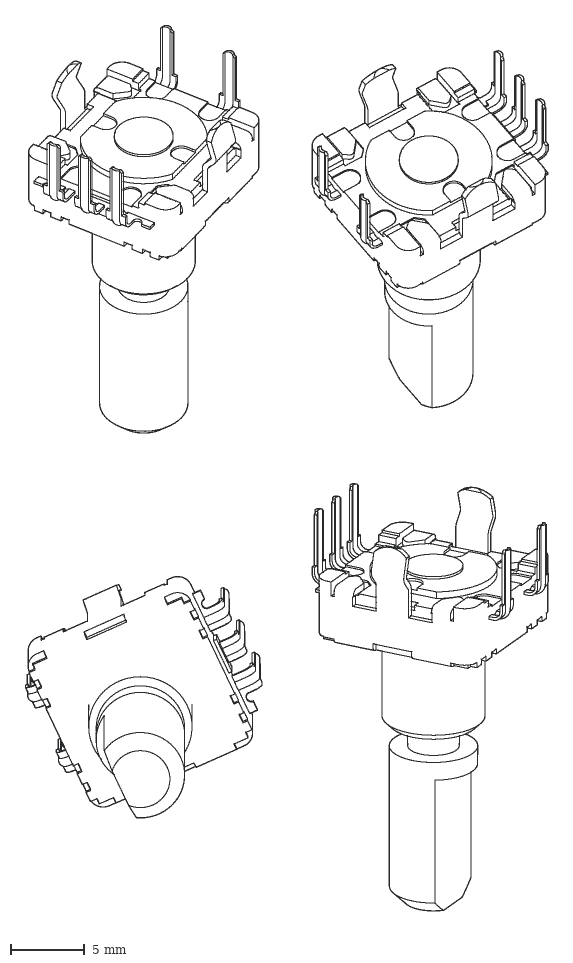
import cadquery as cq
import math


body_x = 11.75
body_y = 12.05
body_height = 4.5
corner_radius = 1.0
frame_thickness = 0.43
bottom_bend_radius = 0.35
half_x = body_x / 2
half_y = body_y / 2
cover_half_x = half_x - frame_thickness

floor_z = 3.85
disc_z = 4.33
pocket_z = 3.72
side_recess_z = 3.47

pad_inner_y = 4.7
pad_inner_x = 3.83
pad_step_inner_x = 3.34

disc_radius = 4.3
disc_half_flat = 3.68
centre_radius = 2.0

slot_width = 1.46
edge_slot_x = 2.1
edge_slot_tip_y = 4.3
disc_slot_tip_x = 2.28
disc_slot_z = 4.15

tab_outer_y = 4.47
tab_inner_y = 3.0
tab_tip_x = 3.36
tab_tip_y = 3.9
tab_top_z = 4.2
tab_flank_x = 4.35
tab_point_x = 3.85
tab_bend_radius = 0.45
tab_tip_radius = 0.3
pocket_inner_y = 2.84
pocket_inner_x = 3.15
pocket_chamfer = 0.52

side_opening_half_y = 3.05
side_opening_z = 3.04
side_recess_half_y = 1.49
side_recess_depth = 0.51

notch_height = 0.36
notch_width = 0.62
notch_depth = 0.35
notch_places_x = (2.52, 3.97)
side_notch_half_y = 1.48
side_notch_height = 0.6
corner_notch_inner = (4.98, 4.5)
corner_notch_post = (5.38, 5.55)

front_block_x = 2.5
front_block_z = (2.19, 3.47)
front_block_reach = 0.23

bushing_radius = 3.5
bushing_length = 7.0
bushing_chamfer = 0.5
bushing_flare = 0.5
neck_radius = 1.75
shaft_radius = 3.0
shaft_top_z = -8.7
shaft_end_z = -20.0
shaft_chamfer = 1.0
flat_y = 1.5
flat_top_z = -10.0

arm_width = 2.5
arm_thickness = 0.4
arm_first_bend = (half_x, 5.08)
arm_knee = (6.62, 5.98)
arm_tip = (6.03, 8.0)
arm_inner_radius = 0.2
arm_outer_radius = arm_inner_radius + arm_thickness
arm_shoulder_z = 7.5

lead_top_z = 8.0
lead_pitch = 2.5
lead_thickness = 0.2
lead_bottom_z = 2.93
lead_bend_radius = 0.7
lead_root_depth = 0.5
lead_foot_width = 1.55
lead_foot_top_z = 4.1
lead_pin_width = 0.95
lead_tip_chamfer = 0.2
bead_width = 0.62
bead_height = 0.15
front_lead_y = 7.575
rear_lead_y = 7.075

strip_outer_x = 4.62
strip_reach = 0.58
strip_notch_x = 3.6
strip_notch_radius = 0.34


def box(x_range, y_range, z_range):
    """Axis-aligned box between the given limits."""
    size = [limits[1] - limits[0] for limits in (x_range, y_range, z_range)]
    corner = (x_range[0], y_range[0], z_range[0])
    return cq.Workplane("XY").box(*size, centered=False).translate(corner)


def mirrored_x(shape):
    return shape.union(shape.mirror("YZ"))


def four_corners(shape):
    """The shape repeated in all four quadrants."""
    pair = mirrored_x(shape)
    return pair.union(pair.mirror("XZ"))


def round_slot(tip, outer, along_x, z_range):
    """Slot from its round tip outward to an open end, along +X or +Y from the axis."""
    radius = slot_width / 2
    height = z_range[1] - z_range[0]
    centre = tip + radius
    slot = cq.Workplane("XY").circle(radius).extrude(height).translate((0, centre, z_range[0]))
    slot = slot.union(box((-radius, radius), (centre, outer), z_range))
    if along_x:
        slot = slot.rotate((0, 0, 0), (0, 0, 1), -90)
    return slot


def make_body():
    body = cq.Workplane("XY").box(body_x, body_y, body_height, centered=(True, True, False))
    body = body.edges("|Z").fillet(corner_radius)
    bend = cq.Workplane("XY").box(body_x, body_y, body_height, centered=(True, True, False))
    bend = bend.edges("<Z and |Y").fillet(bottom_bend_radius)
    body = body.intersect(bend)

    side_notch_y = (-side_notch_half_y, side_notch_half_y)
    side_notch = box((cover_half_x, half_x), side_notch_y, (0, side_notch_height))
    body = body.cut(mirrored_x(side_notch))
    for place_x in notch_places_x:
        x_range = (place_x - notch_width / 2, place_x + notch_width / 2)
        notch = box(x_range, (half_y - notch_depth, half_y), (0, notch_height))
        body = body.cut(four_corners(notch))

    inner_x, inner_y = corner_notch_inner
    post_x, post_y = corner_notch_post
    corner = box((inner_x, half_x), (inner_y, half_y), (0, notch_height))
    corner = corner.cut(box((inner_x, post_x), (inner_y, post_y), (0, notch_height)))
    return body.cut(four_corners(corner))


def cut_cover(body):
    """Lower the cover around the corner pads, then cut its pockets and side openings."""
    across = (-pad_step_inner_x, pad_step_inner_x)
    body = body.cut(box(across, (-half_y, half_y), (floor_z, body_height)))
    body = body.cut(box((-half_x, half_x), (-pad_inner_y, pad_inner_y), (floor_z, body_height)))
    step = box((pad_step_inner_x, pad_inner_x), (pad_inner_y, half_y), (disc_z, body_height))
    body = body.cut(four_corners(step))

    pocket = box((pocket_inner_x, half_x), (pocket_inner_y, pad_inner_y), (pocket_z, body_height))
    pocket = pocket.edges("|Z and <X and <Y").chamfer(pocket_chamfer)
    body = body.cut(four_corners(pocket))

    slit = box((cover_half_x, half_x), (tab_outer_y, pad_inner_y), (side_recess_z, body_height))
    body = body.cut(four_corners(slit))

    wall_x = (cover_half_x, half_x)
    opening = box(wall_x, (-side_opening_half_y, side_opening_half_y), (side_opening_z, body_height))
    recess_x = (cover_half_x - side_recess_depth, cover_half_x)
    recess_y = (-side_recess_half_y, side_recess_half_y)
    recess = box(recess_x, recess_y, (side_recess_z, body_height))
    body = body.cut(mirrored_x(opening.union(recess)))

    edge_slot = round_slot(edge_slot_tip_y, half_y, False, (pocket_z, body_height))
    return body.cut(four_corners(edge_slot.translate((edge_slot_x, 0, 0))))


def make_disc():
    disc = cq.Workplane("XY").workplane(offset=floor_z).circle(disc_radius).extrude(disc_z - floor_z)
    flats = box((-disc_half_flat, disc_half_flat), (-disc_radius, disc_radius), (floor_z, disc_z))
    disc = disc.intersect(flats)
    slot = round_slot(disc_slot_tip_x, disc_radius, True, (disc_slot_z, disc_z))
    disc = disc.cut(mirrored_x(slot))
    centre = cq.Workplane("XY").workplane(offset=floor_z).circle(centre_radius)
    return disc.union(centre.extrude(body_height - floor_z))


def make_tabs():
    """Pointed tabs bent from the side walls onto the pocket floors."""
    outline = [
        (half_x, tab_inner_y),
        (tab_flank_x, tab_inner_y),
        (tab_tip_x, tab_tip_y),
        (tab_point_x, tab_outer_y),
        (half_x, tab_outer_y),
    ]
    tab = cq.Workplane("XY").workplane(offset=pocket_z).polyline(outline).close()
    tab = tab.extrude(tab_top_z - pocket_z)
    tab = tab.edges("|Z and <X").fillet(tab_tip_radius)
    tab = tab.edges(">X and >Z").fillet(tab_bend_radius)
    return four_corners(tab)


def make_shaft():
    """Bushing with a flared root, neck and D-shaped shaft."""
    flare_radius = bushing_radius + bushing_flare
    flare_mid = bushing_flare * (1 - math.sqrt(0.5))
    profile = (
        cq.Workplane("XZ")
        .moveTo(0, 0)
        .lineTo(flare_radius, 0)
        .threePointArc((bushing_radius + flare_mid, -flare_mid), (bushing_radius, -bushing_flare))
        .lineTo(bushing_radius, bushing_chamfer - bushing_length)
        .lineTo(bushing_radius - bushing_chamfer, -bushing_length)
        .lineTo(neck_radius, -bushing_length)
        .lineTo(neck_radius, shaft_top_z)
        .lineTo(shaft_radius, shaft_top_z)
        .lineTo(shaft_radius, shaft_end_z + shaft_chamfer)
        .lineTo(shaft_radius - shaft_chamfer, shaft_end_z)
        .lineTo(0, shaft_end_z)
        .close()
    )
    shaft = profile.revolve(360, (0, 0, 0), (0, 1, 0))
    flat = box((-shaft_radius, shaft_radius), (flat_y, shaft_radius), (shaft_end_z, flat_top_z))
    return shaft.cut(flat)


def unit(start, end):
    length = math.dist(start, end)
    return ((end[0] - start[0]) / length, (end[1] - start[1]) / length)


def inner_side(path, thickness):
    """Points of the path moved to its left by the sheet thickness, mitred at the bends."""
    directions = [unit(start, end) for start, end in zip(path, path[1:])]
    before = [directions[0]] + directions
    after = directions + [directions[-1]]
    points = []
    for (x, z), a, b in zip(path, before, after):
        scale = thickness / (1 + a[0] * b[0] + a[1] * b[1])
        points.append((x - (a[1] + b[1]) * scale, z + (a[0] + b[0]) * scale))
    return points


def make_arms():
    half_width = arm_width / 2
    outer = [(half_x, side_opening_z), arm_first_bend, arm_knee, arm_tip]
    inner = inner_side(outer, arm_thickness)
    arm = cq.Workplane("XZ").polyline(outer + inner[::-1]).close().extrude(half_width, both=True)
    bends = (
        (outer[1], arm_inner_radius),
        (inner[1], arm_outer_radius),
        (outer[2], arm_outer_radius),
        (inner[2], arm_inner_radius),
    )
    for (x, z), radius in bends:
        nearest = cq.selectors.NearestToPointSelector((x, 0, z))
        arm = arm.edges(nearest).fillet(radius)
    blank = (
        cq.Workplane("YZ")
        .moveTo(-half_width, side_opening_z)
        .lineTo(half_width, side_opening_z)
        .lineTo(half_width, arm_shoulder_z)
        .threePointArc((0, arm_tip[1]), (-half_width, arm_shoulder_z))
        .close()
        .extrude(body_x)
    )
    return mirrored_x(arm.intersect(blank))


def lead_path(outer_y, depth):
    """L-shaped line running out along +Y and up, the given depth inside the outer face of a lead."""
    radius = lead_bend_radius - depth
    centre_y = outer_y - lead_bend_radius
    centre_z = lead_bottom_z + lead_bend_radius
    diagonal = radius * math.sqrt(0.5)
    return (
        cq.Workplane("YZ")
        .moveTo(half_y - lead_root_depth, lead_bottom_z + depth)
        .lineTo(centre_y, lead_bottom_z + depth)
        .threePointArc((centre_y + diagonal, centre_z - diagonal), (centre_y + radius, centre_z))
        .lineTo(centre_y + radius, lead_top_z)
    )


def sweep_bead(outer_y, depth):
    """Arched bead standing outward from the given depth below the outer face of a lead."""
    half_width = bead_width / 2
    root = (0, half_y - lead_root_depth, lead_bottom_z + depth)
    profile = cq.Workplane("XZ", origin=root).moveTo(-half_width, 0)
    profile = profile.threePointArc((0, -bead_height), (half_width, 0)).close()
    return profile.sweep(lead_path(outer_y, depth))


def make_lead(outer_y):
    """Lead with a wide foot, a narrow pin and a pressed bead, reaching out along +Y."""
    root = (0, half_y - lead_root_depth, lead_bottom_z + lead_thickness / 2)
    section = cq.Workplane("XZ", origin=root).rect(lead_foot_width, lead_thickness)
    lead = section.sweep(lead_path(outer_y, lead_thickness / 2))
    lead = lead.cut(sweep_bead(outer_y, lead_thickness))
    lead = lead.union(sweep_bead(outer_y, 0))
    half_foot = lead_foot_width / 2
    reach = (0, outer_y + bead_height)
    foot = box((-half_foot, half_foot), reach, (0, lead_foot_top_z))
    half_pin = lead_pin_width / 2
    pin = box((-half_pin, half_pin), reach, (0, lead_top_z))
    pin = pin.edges(">Z and |Y").chamfer(lead_tip_chamfer)
    return lead.intersect(foot.union(pin))


def make_strips():
    """Flat strips beside the outer front leads, each with a half-round notch."""
    front = -half_y - strip_reach
    strip_z = (lead_bottom_z, lead_bottom_z + lead_thickness)
    strip = box((lead_pitch, strip_outer_x), (front, -half_y + lead_root_depth), strip_z)
    notch = cq.Workplane("XY").center(strip_notch_x, front).circle(strip_notch_radius)
    return mirrored_x(strip.cut(notch.extrude(body_height)))


def make_leads():
    front_lead = make_lead(front_lead_y).mirror("XZ")
    rear_lead = make_lead(rear_lead_y)
    leads = make_strips().union(front_lead)
    for side in (-1, 1):
        shift = (side * lead_pitch, 0, 0)
        leads = leads.union(front_lead.translate(shift)).union(rear_lead.translate(shift))
    return leads


front_block = box(
    (-front_block_x / 2, front_block_x / 2),
    (-half_y - front_block_reach, -half_y),
    front_block_z,
)

result = cut_cover(make_body())
for feature in (make_disc(), make_tabs(), make_shaft(), make_arms(), front_block, make_leads()):
    result = result.union(feature)